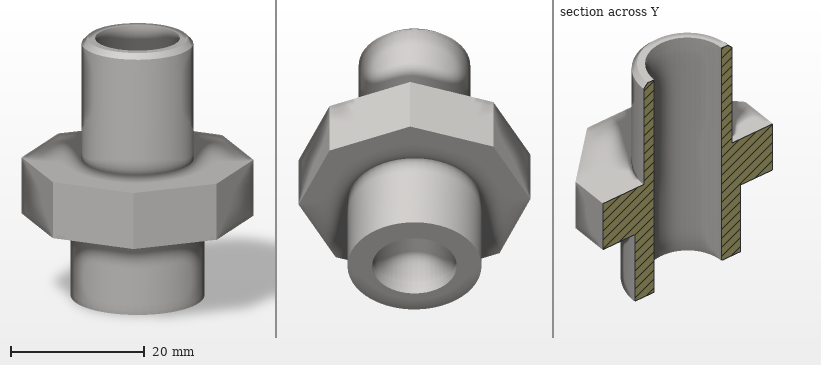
import cadquery as cq

total_height = 40.2
across_flats = 32.0

lower_height = 12.6
collar_height = 8.75
upper_height = total_height - lower_height - collar_height

lower_diameter = 20.0
upper_diameter = 16.7
bore_diameter = 12.65
tip_chamfer = 0.8

collar_sides = 8

lower_spigot = cq.Workplane("XY").circle(lower_diameter / 2).extrude(lower_height)

collar = (
    cq.Workplane("XY")
    .workplane(offset=lower_height)
    .polygon(collar_sides, across_flats, circumscribed=True)
    .extrude(collar_height)
)

upper_spigot = (
    cq.Workplane("XY")
    .workplane(offset=lower_height + collar_height)
    .circle(upper_diameter / 2)
    .extrude(upper_height)
    .faces(">Z")
    .edges()
    .chamfer(tip_chamfer)
)

bore = cq.Workplane("XY").circle(bore_diameter / 2).extrude(total_height)

result = lower_spigot.union(collar).union(upper_spigot).cut(bore)